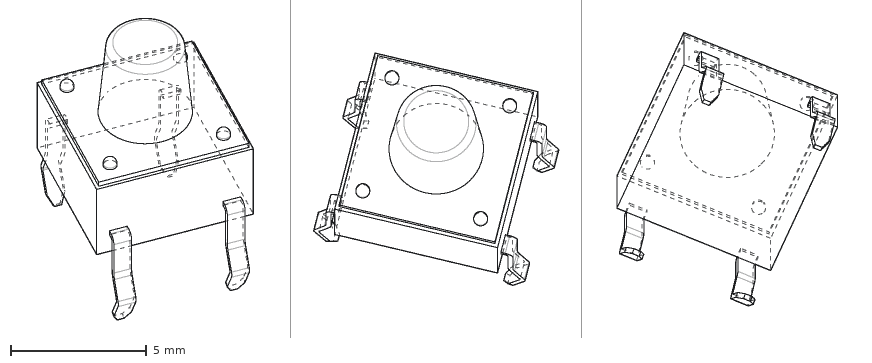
import cadquery as cq
import math


overall_width = 8.05
overall_height = 10.34

housing_side = 6.2
housing_height = 3.3
cover_inset = 0.13
cover_side = housing_side - 2 * cover_inset
cover_thickness = 0.21
cover_top = housing_height + cover_thickness

pip_radius = 0.26
pip_rim_height = 0.08
corner_offset = 2.24

button_height = 3.5
button_base_radius = 1.75
button_top_radius = 1.45
button_edge_radius = 0.27
button_top = cover_top + button_height

leg_width = 0.7
leg_thickness = 0.2
leg_exit_height = 0.94
leg_upright_x = 3.46
knee_z = -0.86
knee_radius = 0.72
elbow_z = -1.88
sheet_bend_radius = 0.2
lower_leg_angle = math.radians(26.6)
tip_width = 0.28
tip_taper_length = 0.5

elbow_x = (
    overall_width / 2
    - leg_thickness / 2
    + sheet_bend_radius * (1 / math.cos(lower_leg_angle) - 1)
)

leg_bottom = button_top - overall_height
tip_z = leg_bottom + leg_thickness / 2 * math.sin(lower_leg_angle)
tip_x = elbow_x - (elbow_z - tip_z) * math.tan(lower_leg_angle)


def make_housing():
    return cq.Workplane("XY").box(housing_side, housing_side, housing_height, centered=(True, True, False))


def make_cover():
    plate = (
        cq.Workplane("XY", origin=(0, 0, housing_height))
        .box(cover_side, cover_side, cover_thickness, centered=(True, True, False))
    )
    pip_profile = (
        cq.Workplane("XZ")
        .lineTo(pip_radius, 0)
        .lineTo(pip_radius, pip_rim_height)
        .radiusArc((0, pip_rim_height + pip_radius), -pip_radius)
        .close()
    )
    pip = pip_profile.revolve(360, (0, 0, 0), (0, 1, 0))
    for x in (-corner_offset, corner_offset):
        for y in (-corner_offset, corner_offset):
            plate = plate.union(pip.translate((x, y, cover_top)))
    return plate.solids()


def make_button():
    profile = (
        cq.Workplane("XZ", origin=(0, 0, cover_top))
        .lineTo(button_base_radius, 0)
        .lineTo(button_top_radius, button_height)
        .lineTo(0, button_height)
        .close()
    )
    button = profile.revolve(360, (0, 0, 0), (0, 1, 0))
    return button.faces(">Z").edges().fillet(button_edge_radius).solids()


def bend_points(before, corner, after, radius):
    """Start, middle and end of the arc that rounds a corner between two straight stretches."""
    corner = cq.Vector(*corner)
    to_before = (cq.Vector(*before) - corner).normalized()
    to_after = (cq.Vector(*after) - corner).normalized()
    half_angle = to_before.getAngle(to_after) / 2
    setback = radius / math.tan(half_angle)
    inward = (to_before + to_after).normalized()
    middle = corner + inward * (radius / math.sin(half_angle) - radius)
    return corner + to_before * setback, middle, corner + to_after * setback


def make_leg():
    """Leg on the +X side, centred on Y = 0."""
    root = (housing_side / 2, leg_exit_height)
    shoulder = (leg_upright_x, leg_exit_height)
    knee = (leg_upright_x, knee_z)
    elbow = (elbow_x, elbow_z)
    tip = (tip_x, tip_z)
    path = cq.Workplane("XZ").moveTo(*root)
    for before, corner, after, radius in (
        (root, shoulder, knee, sheet_bend_radius),
        (shoulder, knee, elbow, knee_radius),
        (knee, elbow, tip, sheet_bend_radius),
    ):
        start, middle, end = bend_points(before, corner, after, radius)
        path = path.lineTo(start.x, start.y)
        path = path.threePointArc((middle.x, middle.y), (end.x, end.y))
    path = path.lineTo(*tip)
    strip = (
        cq.Workplane("YZ", origin=(root[0], 0, root[1]))
        .rect(leg_width, leg_thickness)
        .sweep(path)
    )
    return strip.cut(make_tip_corners()).solids()


def make_tip_corners():
    """The two corner wedges whose removal tapers the tip of a leg."""
    sheet_normal = (math.cos(lower_leg_angle), 0, -math.sin(lower_leg_angle))
    tip_plane = cq.Plane(origin=(tip_x, 0, tip_z), xDir=(0, 1, 0), normal=sheet_normal)
    corner = (
        cq.Workplane(tip_plane)
        .moveTo(tip_width / 2, 0)
        .lineTo(leg_width / 2, 0)
        .lineTo(leg_width / 2, tip_taper_length)
        .close()
        .extrude(leg_thickness, both=True)
    )
    return corner.union(corner.mirror("XZ"))


def make_legs():
    right_leg = make_leg()
    left_leg = right_leg.mirror("YZ").solids()
    legs = []
    for leg in (left_leg, right_leg):
        for y in (-corner_offset, corner_offset):
            legs.append(leg.val().translate(cq.Vector(0, y, 0)))
    return legs


housing = make_housing()
cover = make_cover()
button = make_button()
legs = make_legs()

result = cq.Compound.makeCompound([housing.val(), cover.val(), button.val(), *legs])